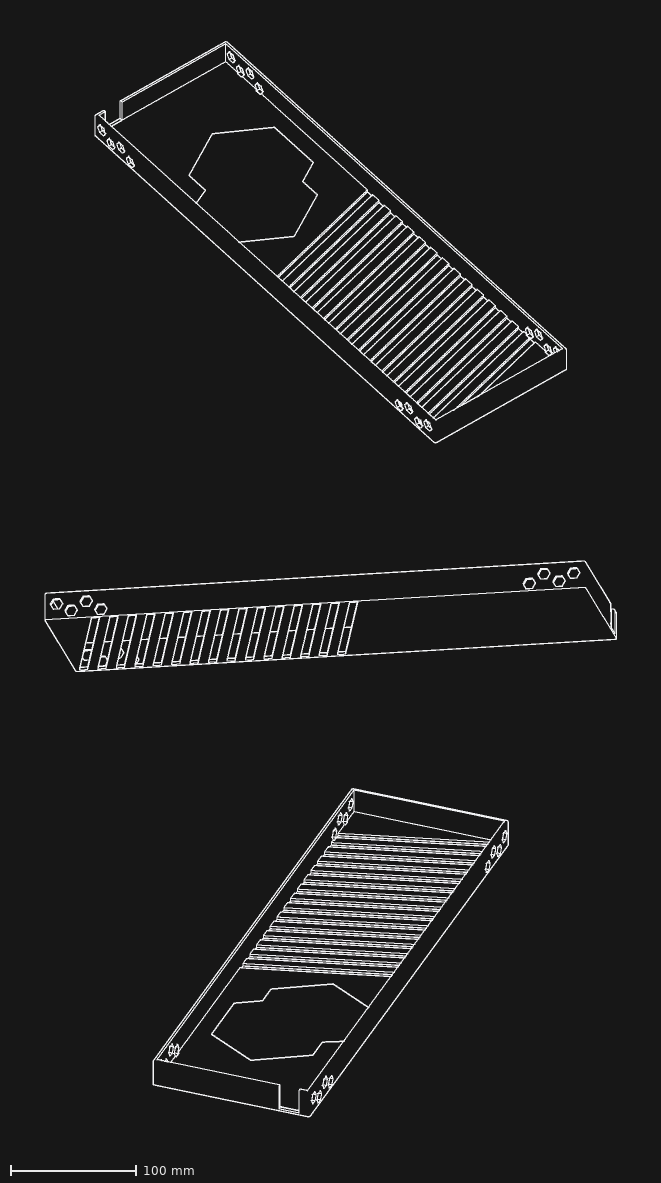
import cadquery as cq
import math

length = 439.0
width = 134.5
height = 23.0
wall = 2.85
floor_thickness = 2.4
edge_radius = 1.8

slot_count = 15
first_slot_x = 185.2
last_slot_x = 394.5
slot_width = 6.5
slot_slant = 15.0
slot_front_gap = 1.0

hole_radius = 5.0
front_holes = [(9.5, 12.7), (21.5, 6.5), (34.2, 12.7), (46.5, 6.0)]
rear_holes = [(9.5, 12.7), (21.5, 6.5), (34.0, 13.5), (45.5, 6.0)]
rear_hole_overrun = 1.0

notch_y = 9.0
notch_width = 17.0
notch_bottom = 1.98

hexagon_radius = 50.0
rear_hexagon = (109.5, 73.5)
front_hexagon = (139.5, 53.5)
rear_step_x = 145.7
front_step_x = 105.5
recess_depth = 0.5


def box(x, y, z, size_x, size_y, size_z):
    return cq.Workplane("XY").box(size_x, size_y, size_z, centered=False).translate((x, y, z))


def make_tray():
    outside = box(0, 0, 0, length, width, height).edges("|Z or >Z").fillet(edge_radius)
    inside = box(wall, wall, floor_thickness, length - 2 * wall, width - 2 * wall, height)
    return outside.cut(inside)


def make_slots():
    rear_y = width - wall
    front_y = wall + slot_front_gap
    shift = (rear_y - front_y) * math.tan(math.radians(slot_slant))
    pitch = (last_slot_x - first_slot_x) / (slot_count - 1)
    slots = cq.Workplane("XY")
    for i in range(slot_count):
        x = first_slot_x + i * pitch
        slots = slots.moveTo(x, rear_y).lineTo(x + slot_width, rear_y)
        slots = slots.lineTo(x + slot_width + shift, front_y).lineTo(x + shift, front_y).close()
    return slots.extrude(floor_thickness)


def make_wall_holes(holes, start_y, depth):
    mirrored = [(length - x, z) for x, z in holes]
    plane = cq.Workplane("XZ", origin=(0, start_y, 0))
    return plane.pushPoints(holes + mirrored).polygon(6, 2 * hole_radius).extrude(-depth)


def make_notch():
    return box(0, notch_y, notch_bottom, wall, notch_width, height)


def hexagon_corner(centre, degrees):
    angle = math.radians(degrees)
    return (
        centre[0] + hexagon_radius * math.cos(angle),
        centre[1] + hexagon_radius * math.sin(angle),
    )


def make_recess():
    half_height = hexagon_radius * math.sin(math.radians(60))
    outline = [hexagon_corner(rear_hexagon, a) for a in (60, 120, 180, 240)]
    outline.append((front_step_x, rear_hexagon[1] - half_height))
    outline += [hexagon_corner(front_hexagon, a) for a in (240, 300, 0, 60)]
    outline.append((rear_step_x, front_hexagon[1] + half_height))
    floor_top = cq.Workplane("XY").workplane(offset=floor_thickness)
    return floor_top.polyline(outline).close().extrude(-recess_depth)


rear_hole_depth = wall + rear_hole_overrun
front_wall_holes = make_wall_holes(front_holes, 0, wall)
rear_wall_holes = make_wall_holes(rear_holes, width - rear_hole_depth, rear_hole_depth)

result = (
    make_tray()
    .cut(make_slots())
    .cut(front_wall_holes)
    .cut(rear_wall_holes)
    .cut(make_notch())
    .cut(make_recess())
)